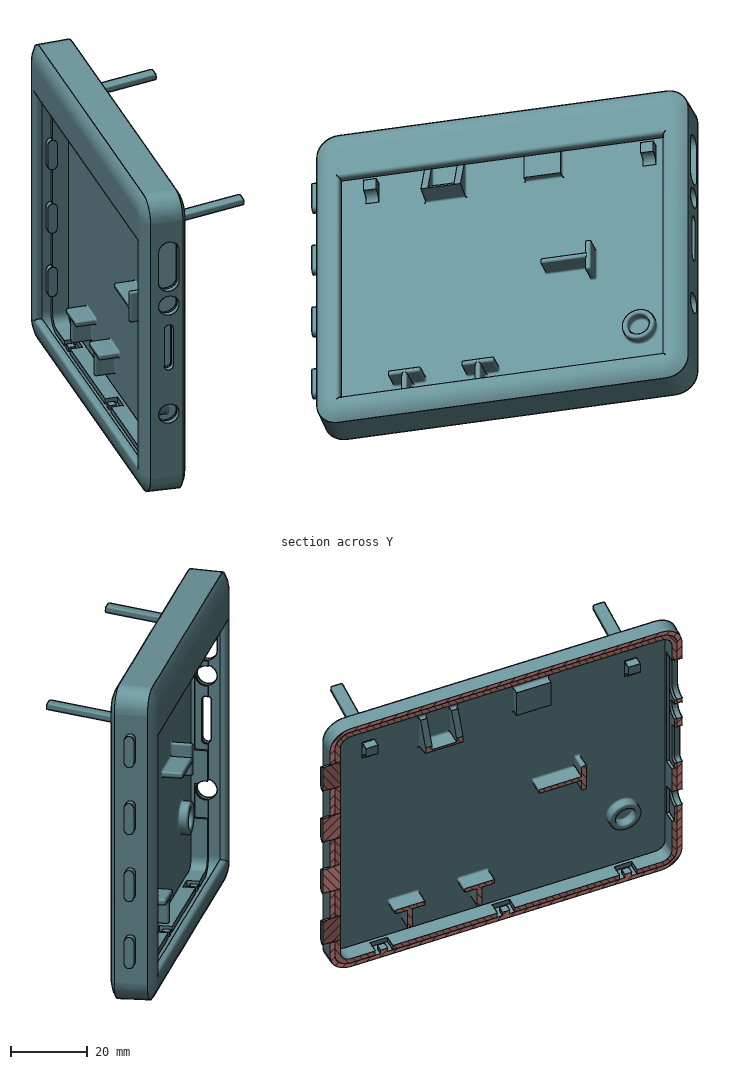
import cadquery as cq
import math

BUTTON_FACE_X = -51.3
LEFT_X = -49.4
RIGHT_X = 51.3
HEIGHT = 86.7
CORNER_R = 6.2
FRONT_Y = -15.4
BACK_Y = -3.3
COVER_T = 1.7
PARTING_Y = BACK_Y - COVER_T
FRAME_DEPTH = PARTING_Y - FRONT_Y
FRAME_DRAFT = 0.3
EDGE_WIDTH = 5.1
FRONT_EDGE_DEPTH = 1.6

CENTER_X = (LEFT_X + RIGHT_X) / 2
WIDTH = RIGHT_X - LEFT_X

FRAME_WALL = 1.6
LIP_T = 2.0
WINDOW_LEFT = -42.5
WINDOW_RIGHT = 44.5
WINDOW_BOTTOM = -36.1
WINDOW_TOP = 29.5
WINDOW_EDGE_R = 1.0

TONGUE_T = 1.5
TONGUE_H = 4.3
TONGUE_EDGE_Y = PARTING_Y - TONGUE_H
TONGUE_BOTTOM = FRAME_WALL - HEIGHT / 2

BUTTON_COUNT = 4
BUTTON_PITCH = 18.6
BUTTON_LENGTH = 8.6
BUTTON_WIDTH = 2.6
BUTTON_Y = -9.3
BUTTON_INNER_X = LEFT_X + FRAME_WALL + TONGUE_T

LEG_X = (-36.4, 38.3)
LEG_WIDTH = 3.4
LEG_T = 1.8
LEG_EDGE_R = 0.5
LEG_TILT = 7.5
LEG_ROOT_Z = 31.4
LEG_TIP_Y = 15.5
FOOT_BOTTOM_Z = 26.7
FOOT_T = 2.6

SUPPORT_T = 1.5
SUPPORT_ROUND = 0.5

RIB_H = 5.6
RIB_CAP = 8.7
LOW_RIB_X = (-26.4, -6.6)
LOW_RIB_Z = -28.4
LOW_STEM = 7.2
SIDE_RIB_X = 23.2
SIDE_RIB_Z = -0.9
SIDE_STEM = 12.8

RING_X = 35.9
RING_Z = -22.0
RING_OUTER_R = 4.4
RING_H = 2.6

HOLDER_LEFT = -22.0
HOLDER_WIDTH = 10.7
HOLDER_BOTTOM = 24.6
HOLDER_RISE = 1.2
HOLDER_HEIGHT = 10.3
HOLDER_DEPTH = 5.1
HOLDER_TOP_DEPTH = 1.0
POCKET_WIDTH = 7.0
POCKET_BOTTOM = 26.5
PAD_LEFT = 4.9
PAD_WIDTH = 9.9
PAD_BOTTOM = 26.9
PAD_HEIGHT = 8.2
PAD_DEPTH = 2.1

CLIP_PITCH = 34.8
NOTCH_WIDTH = 4.9
RECESS_END_Y = -6.0
TOOTH_WIDTH = 2.1
TOOTH_H = 1.2
TOOTH_LENGTH = 2.1

PORT_Y = -8.8
PORT_INNER_X = RIGHT_X - FRAME_WALL - TONGUE_T
PORT_RECESS_DEPTH = 0.8
PORT_RECESSES = ((-7.6, 31.8), (-26.5, -16.8))
SLOT_PORTS = ((17.0, 31.4, 5.5), (-6.0, 7.2, 2.5))
ROUND_PORT_Z = (12.8, -18.8)
ROUND_PORT_D = 5.5

CUT_MARGIN = 1.0


def rounded_block(inset, y_front, y_back, taper=0.0):
    """Rounded rectangle in XZ, inset from the parting outline, running from y_back to y_front."""
    return (
        cq.Workplane("XZ", origin=(CENTER_X, y_back, 0))
        .sketch()
        .rect(WIDTH - 2 * inset, HEIGHT - 2 * inset)
        .vertices()
        .fillet(CORNER_R - inset)
        .finalize()
        .extrude(y_back - y_front, taper=taper)
    )


def round_border(body, face, y_face, y_side, inset):
    """Cut the border arc around a face.

    The face lies at y_face and its sides are set in by inset from the parting outline.
    The arc leaves the face tangentially and ends on the sides at y_side.
    """
    width = EDGE_WIDTH - inset
    depth = abs(y_side - y_face)
    inward = math.copysign(1, y_side - y_face)
    radius = (width**2 + depth**2) / (2 * depth)
    half_angle = math.asin(width / radius) / 2
    side_x = LEFT_X + inset
    inner_x = side_x + width
    mid_x = inner_x - radius * math.sin(half_angle)
    mid_y = y_face + inward * radius * (1 - math.cos(half_angle))
    outside_x = side_x - CUT_MARGIN
    outside_y = y_face - inward * CUT_MARGIN
    cutter = (
        cq.Workplane("XY")
        .moveTo(side_x, y_side)
        .threePointArc((mid_x, mid_y), (inner_x, y_face))
        .lineTo(inner_x, outside_y)
        .lineTo(outside_x, outside_y)
        .lineTo(outside_x, y_side)
        .close()
        .sweep(body.faces(face).wires())
    )
    return body.cut(cutter)


def box_between(x0, x1, y0, y1, z0, z1):
    return cq.Workplane("XY").box(x1 - x0, y1 - y0, z1 - z0, centered=False).translate((x0, y0, z0))


def make_button(index):
    """Upright slot-shaped bar reaching through the frame wall and the tongue."""
    z = (index - (BUTTON_COUNT - 1) / 2) * BUTTON_PITCH
    return (
        cq.Workplane("YZ", origin=(BUTTON_FACE_X, BUTTON_Y, z))
        .slot2D(BUTTON_LENGTH, BUTTON_WIDTH, 90)
        .extrude(BUTTON_INNER_X - BUTTON_FACE_X)
    )


def make_leg(x):
    """Round-edged bar that passes through the cover, with a foot lying on the inside of the cover."""
    tilt = math.radians(LEG_TILT)
    length = (LEG_TIP_Y - BACK_Y - (LEG_T / 2 - LEG_EDGE_R) * math.sin(tilt)) / math.cos(tilt) + COVER_T
    bar = (
        cq.Workplane("XY")
        .box(LEG_WIDTH, length, LEG_T, centered=(True, False, True))
        .edges("|Y or >Y")
        .fillet(LEG_EDGE_R)
        .translate((0, PARTING_Y - BACK_Y, 0))
        .rotate((0, 0, 0), (1, 0, 0), LEG_TILT)
        .translate((x, BACK_Y, LEG_ROOT_Z))
    )
    foot_top_z = LEG_ROOT_Z + LEG_T / 2
    foot = (
        cq.Workplane("YZ", origin=(x - LEG_WIDTH / 2, 0, 0))
        .moveTo(PARTING_Y, FOOT_BOTTOM_Z)
        .radiusArc((PARTING_Y - FOOT_T, FOOT_BOTTOM_Z + FOOT_T), -FOOT_T)
        .lineTo(PARTING_Y - FOOT_T, foot_top_z)
        .lineTo(PARTING_Y, foot_top_z)
        .close()
        .extrude(LEG_WIDTH)
    )
    return bar.union(foot)


def cut_ports(body):
    """Slotted and round openings through the right wall of the frame and the tongue behind it."""
    depth = FRAME_WALL + TONGUE_T + CUT_MARGIN
    for z_bottom, z_top, width in SLOT_PORTS:
        plane = cq.Workplane("YZ", origin=(PORT_INNER_X, PORT_Y, (z_bottom + z_top) / 2))
        body = body.cut(plane.slot2D(z_top - z_bottom, width, 90).extrude(depth))
    for z in ROUND_PORT_Z:
        plane = cq.Workplane("YZ", origin=(PORT_INNER_X, PORT_Y, z))
        body = body.cut(plane.circle(ROUND_PORT_D / 2).extrude(depth))
    return body


def on_cover(x, z):
    """Workplane on the inside face of the cover; extrusions run toward the front."""
    return cq.Workplane("XZ", origin=(x, PARTING_Y, z))


def make_t_rib(stem):
    """T-shaped rib with its cap centred at the origin and its stem hanging down."""
    cap = on_cover(0, 0).rect(RIB_CAP, SUPPORT_T).extrude(RIB_H)
    cap = cap.edges("|Y").fillet(SUPPORT_ROUND)
    stem_bar = on_cover(0, -stem / 2).rect(SUPPORT_T, stem).extrude(RIB_H)
    stem_bar = stem_bar.edges("|Y and <Z").fillet(SUPPORT_ROUND)
    return round_front(cap.union(stem_bar))


def make_ring():
    return on_cover(RING_X, RING_Z).circle(RING_OUTER_R).circle(RING_OUTER_R - SUPPORT_T).extrude(RING_H)


def make_holder():
    """Wedge whose front face slopes back as it rises, with a pocket that is open at the top."""
    wedge = (
        cq.Workplane("YZ", origin=(HOLDER_LEFT, 0, 0))
        .moveTo(PARTING_Y, HOLDER_BOTTOM)
        .lineTo(PARTING_Y - HOLDER_DEPTH, HOLDER_BOTTOM + HOLDER_RISE)
        .lineTo(PARTING_Y - HOLDER_TOP_DEPTH, HOLDER_BOTTOM + HOLDER_HEIGHT)
        .lineTo(PARTING_Y, HOLDER_BOTTOM + HOLDER_HEIGHT)
        .close()
        .extrude(HOLDER_WIDTH)
    )
    pocket_left = HOLDER_LEFT + (HOLDER_WIDTH - POCKET_WIDTH) / 2
    pocket = box_between(
        pocket_left, pocket_left + POCKET_WIDTH,
        PARTING_Y - HOLDER_DEPTH, PARTING_Y,
        POCKET_BOTTOM, HOLDER_BOTTOM + HOLDER_HEIGHT,
    )
    return wedge.cut(pocket)


def make_pad():
    return box_between(
        PAD_LEFT, PAD_LEFT + PAD_WIDTH,
        PARTING_Y - PAD_DEPTH, PARTING_Y,
        PAD_BOTTOM, PAD_BOTTOM + PAD_HEIGHT,
    )


def round_front(support):
    return support.faces("<Y").edges().fillet(SUPPORT_ROUND)


def add_support(cover, support):
    """Join a support to the cover and round its foot."""
    box = support.val().BoundingBox()
    margin = SUPPORT_ROUND / 2
    foot_edges = cq.selectors.BoxSelector(
        (box.xmin - margin, PARTING_Y - margin, box.zmin - margin),
        (box.xmax + margin, PARTING_Y + margin, box.zmax + margin),
        boundingbox=True,
    )
    return cover.union(support).edges(foot_edges).fillet(SUPPORT_ROUND)


def add_supports(cover):
    low_rib = make_t_rib(LOW_STEM)
    for x in LOW_RIB_X:
        cover = add_support(cover, low_rib.translate((x, 0, LOW_RIB_Z)))
    side_rib = make_t_rib(SIDE_STEM).rotate((0, 0, 0), (0, 1, 0), 90)
    cover = add_support(cover, side_rib.translate((SIDE_RIB_X, 0, SIDE_RIB_Z)))
    cover = add_support(cover, round_front(make_ring()))
    cover = add_support(cover, make_pad())
    return add_support(cover, make_holder())


def clip_centers():
    return [CENTER_X + i * CLIP_PITCH for i in (-1, 0, 1)]


def cut_clip_notches(cover):
    for x in clip_centers():
        notch = box_between(
            x - NOTCH_WIDTH / 2, x + NOTCH_WIDTH / 2,
            TONGUE_EDGE_Y, RECESS_END_Y,
            TONGUE_BOTTOM, TONGUE_BOTTOM + TONGUE_T,
        )
        cover = cover.cut(notch)
    return cover


def cut_port_recesses(cover):
    for z_bottom, z_top in PORT_RECESSES:
        recess = box_between(
            PORT_INNER_X, PORT_INNER_X + PORT_RECESS_DEPTH,
            TONGUE_EDGE_Y, RECESS_END_Y,
            z_bottom, z_top,
        )
        cover = cover.cut(recess)
    return cover


def make_cover(legs, buttons):
    plate = rounded_block(0, PARTING_Y, BACK_Y)
    plate = round_border(plate, ">Y", BACK_Y, PARTING_Y, 0)
    tongue = rounded_block(FRAME_WALL, TONGUE_EDGE_Y, PARTING_Y)
    tongue = tongue.cut(rounded_block(FRAME_WALL + TONGUE_T, TONGUE_EDGE_Y, PARTING_Y))
    cover = add_supports(plate.union(tongue))
    cover = cut_port_recesses(cut_clip_notches(cover))
    cover = cut_ports(cover)
    for part in [*legs, *buttons]:
        cover = cover.cut(part)
    return cover


def cut_window(frame):
    """Cut the screen window and round its front edge."""
    frame = frame.cut(box_between(WINDOW_LEFT, WINDOW_RIGHT, FRONT_Y, PARTING_Y, WINDOW_BOTTOM, WINDOW_TOP))
    margin = WINDOW_EDGE_R / 2
    window_edges = cq.selectors.BoxSelector(
        (WINDOW_LEFT - margin, FRONT_Y - margin, WINDOW_BOTTOM - margin),
        (WINDOW_RIGHT + margin, FRONT_Y + margin, WINDOW_TOP + margin),
        boundingbox=True,
    )
    return frame.edges(window_edges).fillet(WINDOW_EDGE_R)


def add_clip_teeth(frame):
    for x in clip_centers():
        tooth = box_between(
            x - TOOTH_WIDTH / 2, x + TOOTH_WIDTH / 2,
            TONGUE_EDGE_Y, TONGUE_EDGE_Y + TOOTH_LENGTH,
            TONGUE_BOTTOM, TONGUE_BOTTOM + TOOTH_H,
        )
        frame = frame.union(tooth)
    return frame


def make_frame(buttons):
    draft_angle = math.degrees(math.atan(FRAME_DRAFT / FRAME_DEPTH))
    frame = rounded_block(0, FRONT_Y, PARTING_Y, draft_angle)
    frame = round_border(frame, "<Y", FRONT_Y, FRONT_Y + FRONT_EDGE_DEPTH, FRAME_DRAFT)
    frame = frame.cut(rounded_block(FRAME_WALL, FRONT_Y + LIP_T, PARTING_Y))
    frame = cut_ports(add_clip_teeth(cut_window(frame)))
    for button in buttons:
        frame = frame.cut(button)
    return frame


buttons = [make_button(i) for i in range(BUTTON_COUNT)]
legs = [make_leg(x) for x in LEG_X]
cover = make_cover(legs, buttons)
frame = make_frame(buttons)

result = cq.Compound.makeCompound([
    frame.val(),
    cover.val(),
    *[button.val() for button in buttons],
    *[leg.val() for leg in legs],
])